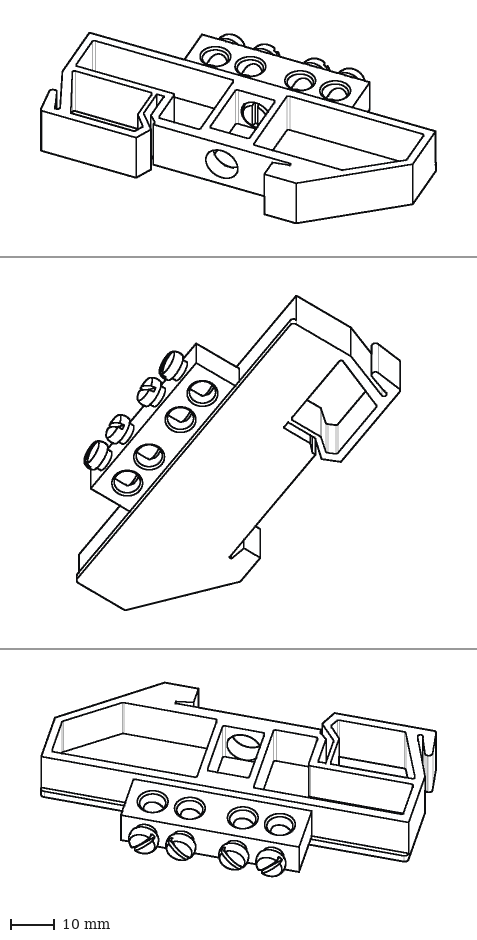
import cadquery as cq
import math

length = 87.0
thickness = 12.0
mid_z = thickness / 2
wall = 1.9
body_top = 30.1
base_y = 5.9
lip_overhang = 1.05
lip_radius = 1.0
center_x = 44.0

latch_top = 16.2
gap_left = 23.1
gap_right = 25.0
elbow_y = 8.7
knee_x = 26.8
latch_tip = (27.1, 4.1)
latch_foot_x = 25.1
toe_x = 1.05
toe_radius = 0.6
arm_start_y = 14.8
slit_bottom = 2.0
slit_end_y = 2.8
slit_end_left = 3.6
slit_end_right = 4.8
release_tab_top = 8.1
release_tab_width = 1.65
tab_left_radius = 0.9
tab_right_radius = 0.6

window_top_left = 1.9
window_bottom_left = 7.8
window_bottom_right = 23.8
window_tip = (25.0, 4.3)
window_right = 22.1
window_elbow_y = 7.7

hook_left = 57.3
hook_right = 61.3
hook_tip_y = 4.6
hook_root_y = 5.3
slope_start_x = 65.3
slope_end_y = 17.1

pocket_radius = 0.5
divider = 1.7
pocket_top = 27.9
pocket_bottom = 8.6
pocket_shelf = latch_top + divider
left_pocket_end = 37.3
center_pocket_bottom = 10.2
center_pocket_top = 25.1
right_pocket_start = 2 * center_x - left_pocket_end
center_pocket_width = right_pocket_start - left_pocket_end - 2 * divider
right_pocket_slope_x = 73.1
head_recess_diameter = 7.3
access_hole_diameter = 8.0

bar_length = 42.2
bar_width = 12.0
bar_height = thickness - 2 * wall
bar_top = body_top + bar_width
wire_hole_diameter = 6.0
wire_hole_countersink = 0.5
wire_hole_y = body_top + bar_width / 2
screw_offsets = (-15.05, -6.3, 6.3, 15.05)
slot_angles = (45, -45, -45, 45)

head_diameter = 6.9
head_face_diameter = 6.0
head_rim_diameter = 6.7
head_side_height = 2.3
crown_height = 0.565
mount_slot_width = 1.3
clamp_slot_width = 1.05
slot_depth = 1.65
shank_diameter = 5.0
tip_diameter = 3.2
tip_length = 0.9
clamp_shank_length = 10.0
clamp_neck = 1.7
mount_shank_length = 7.8
mount_head_protrusion = 0.5
mount_seat_y = center_pocket_top - mount_head_protrusion + head_side_height


def housing_outline():
    """Side profile of the housing with the latch, hook and slanted end."""
    slit_middle = (slit_end_left + slit_end_right) / 2
    return (
        cq.Workplane("XY")
        .moveTo(toe_x, 0)
        .lineTo(latch_foot_x, 0)
        .lineTo(*latch_tip)
        .lineTo(gap_left, elbow_y)
        .lineTo(gap_left, latch_top)
        .lineTo(gap_right, latch_top)
        .lineTo(gap_right, elbow_y)
        .lineTo(knee_x, elbow_y - (knee_x - gap_right))
        .lineTo(knee_x, base_y)
        .lineTo(hook_right, base_y)
        .lineTo(hook_right, hook_root_y)
        .lineTo(hook_left, hook_tip_y)
        .lineTo(hook_left, 0)
        .lineTo(slope_start_x, 0)
        .lineTo(length, slope_end_y)
        .lineTo(length, body_top)
        .lineTo(0, body_top)
        .lineTo(0, arm_start_y)
        .lineTo(slit_end_right, slit_end_y)
        .threePointArc((slit_middle, slit_bottom), (slit_end_left, slit_end_y))
        .lineTo(release_tab_width, release_tab_top)
        .lineTo(0, release_tab_top)
        .close()
        .extrude(thickness)
    )


def upright_edge(x, y):
    """Selector for the Z-direction edge at (x, y)."""
    reach = 0.1
    low_corner = (x - reach, y - reach, -reach)
    high_corner = (x + reach, y + reach, thickness + reach)
    return cq.selectors.BoxSelector(low_corner, high_corner)


def pocket(points):
    """Cutter for a blind pocket with rounded corners above the floor."""
    return (
        cq.Workplane("XY", origin=(0, 0, wall))
        .polyline(points)
        .close()
        .extrude(thickness)
        .edges("|Z")
        .fillet(pocket_radius)
    )


def left_pocket():
    step_x = gap_right + wall
    return pocket([
        (wall, pocket_top),
        (wall, pocket_shelf),
        (step_x, pocket_shelf),
        (step_x, pocket_bottom),
        (left_pocket_end, pocket_bottom),
        (left_pocket_end, pocket_top),
    ])


def center_pocket():
    left = center_x - center_pocket_width / 2
    right = center_x + center_pocket_width / 2
    return pocket([
        (left, center_pocket_bottom),
        (right, center_pocket_bottom),
        (right, center_pocket_top),
        (left, center_pocket_top),
    ])


def right_pocket():
    right = length - wall
    return pocket([
        (right_pocket_start, pocket_bottom),
        (right_pocket_slope_x, pocket_bottom),
        (right, pocket_shelf),
        (right, pocket_top),
        (right_pocket_start, pocket_top),
    ])


def latch_window():
    """Through opening that leaves the flexing arms of the latch."""
    return (
        cq.Workplane("XY")
        .polyline([
            (window_top_left, latch_top),
            (window_bottom_left, slit_bottom),
            (window_bottom_right, slit_bottom),
            window_tip,
            (window_right, window_elbow_y),
            (window_right, latch_top),
        ])
        .close()
        .extrude(thickness)
        .edges("|Z")
        .fillet(pocket_radius)
    )


def floor_lip():
    """Strip of the floor plate that reaches past the body under the bar."""
    return (
        cq.Workplane("XY")
        .rect(length, 2 * lip_overhang, centered=(False, True))
        .extrude(wall)
        .translate((0, body_top, 0))
        .edges("|Z and >Y")
        .fillet(lip_radius)
    )


def cylinder_y(diameter, x, y_start, y_end):
    """Cylinder along Y at mid height."""
    return cq.Workplane(
        cq.Solid.makeCylinder(
            diameter / 2, y_end - y_start, cq.Vector(x, y_start, mid_z), cq.Vector(0, 1, 0)
        )
    )


def make_housing(mount_screw_space):
    body = housing_outline()
    body = body.edges(upright_edge(toe_x, 0)).fillet(toe_radius)
    body = body.edges(upright_edge(release_tab_width, release_tab_top)).fillet(tab_right_radius)
    body = body.edges(upright_edge(0, release_tab_top)).fillet(tab_left_radius)
    body = body.union(floor_lip())
    for cutter in (left_pocket(), center_pocket(), right_pocket(), latch_window()):
        body = body.cut(cutter)
    body = body.cut(cylinder_y(access_hole_diameter, center_x, base_y, center_pocket_bottom))
    body = body.cut(cylinder_y(head_recess_diameter, center_x, center_pocket_top, mount_seat_y))
    return body.cut(mount_screw_space)


def wire_hole(x):
    """Cutter for a wire hole along Z, countersunk at both ends."""
    radius = wire_hole_diameter / 2
    half_height = bar_height / 2
    rim = radius + wire_hole_countersink
    return (
        cq.Workplane("XZ")
        .polyline([
            (0, -half_height),
            (rim, -half_height),
            (radius, -half_height + wire_hole_countersink),
            (radius, half_height - wire_hole_countersink),
            (rim, half_height),
            (0, half_height),
        ])
        .close()
        .revolve(360, (0, 0, 0), (0, 1, 0))
        .translate((x, wire_hole_y, mid_z))
    )


def make_terminal_bar(mount_screw_space):
    bar = cq.Workplane("XY").box(bar_length, bar_width, bar_height)
    bar = bar.translate((center_x, wire_hole_y, mid_z))
    for offset in screw_offsets:
        x = center_x + offset
        bar = bar.cut(wire_hole(x))
        bar = bar.cut(cylinder_y(shank_diameter, x, wire_hole_y, bar_top))
    return bar.cut(mount_screw_space)


def screw_blank(shank_length, crown):
    """Screw without slot: axis on Y, head underside at Y = 0, head toward +Y."""
    shank_radius = shank_diameter / 2
    face_radius = head_face_diameter / 2
    profile = (
        cq.Workplane("XY")
        .moveTo(0, -shank_length)
        .lineTo(tip_diameter / 2, -shank_length)
        .lineTo(shank_radius, tip_length - shank_length)
        .lineTo(shank_radius, 0)
        .lineTo(head_rim_diameter / 2, 0)
        .threePointArc((head_diameter / 2, head_side_height / 2), (face_radius, head_side_height))
    )
    if crown > 0:
        sphere_radius = (face_radius ** 2 + crown ** 2) / (2 * crown)
        middle_radius = face_radius / 2
        drop = sphere_radius - math.sqrt(sphere_radius ** 2 - middle_radius ** 2)
        crown_top = head_side_height + crown
        profile = profile.threePointArc((middle_radius, crown_top - drop), (0, crown_top))
    else:
        profile = profile.lineTo(0, head_side_height)
    return profile.close().revolve(360, (0, 0, 0), (0, 1, 0))


def head_slot(head_top, width):
    """Cutter for a driver slot along Z across the head."""
    return (
        cq.Workplane("XY")
        .box(width, slot_depth, 2 * head_diameter)
        .translate((0, head_top - slot_depth / 2, 0))
    )


def make_clamp_screw(x, slot_angle):
    slot = head_slot(head_side_height + crown_height, clamp_slot_width)
    screw = screw_blank(clamp_shank_length, crown_height).cut(slot)
    screw = screw.rotate((0, 0, 0), (0, 1, 0), -slot_angle)
    return screw.translate((x, bar_top + clamp_neck, mid_z))


def place_mount_screw(screw):
    """Turn a screw so its head faces -Y and seat it in the housing."""
    return screw.rotate((0, 0, 0), (0, 0, 1), 180).translate((center_x, mount_seat_y, mid_z))


mount_blank = screw_blank(mount_shank_length, 0)
mount_screw_space = place_mount_screw(mount_blank)
mount_screw = place_mount_screw(mount_blank.cut(head_slot(head_side_height, mount_slot_width)))
housing = make_housing(mount_screw_space)
terminal_bar = make_terminal_bar(mount_screw_space)
clamp_screws = [
    make_clamp_screw(center_x + offset, angle) for offset, angle in zip(screw_offsets, slot_angles)
]

result = cq.Compound.makeCompound(
    [housing.val(), terminal_bar.val(), mount_screw.val()] + [screw.val() for screw in clamp_screws]
)